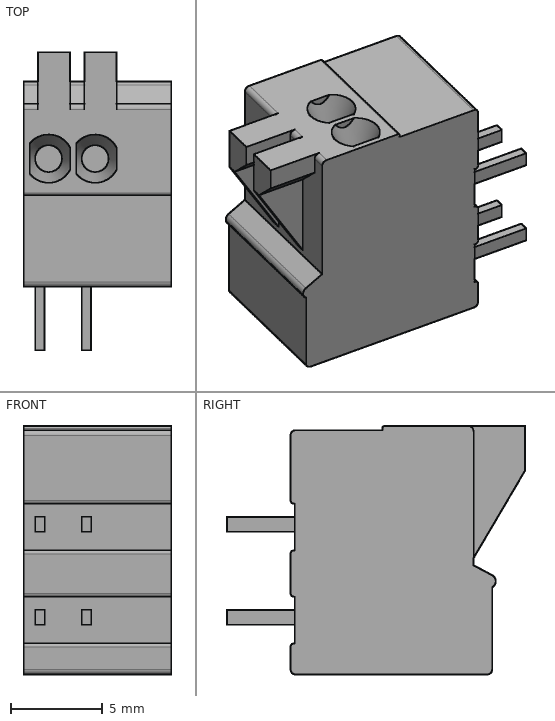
import cadquery as cq

width = 8.08
height = 13.6
lower_depth = 11.04
upper_depth = 10.01
step_y = 5.02
step_drop = 0.23
corner_radius = 0.3
groove_edge_radius = 0.2
step_radius = 0.13

ledge_top = 5.98
nose_slope_end = (11.05, 5.43)
nose_tip = (11.23, 5.12)
nose_base = (lower_depth, 4.78)

pole_count = 2
pole_pitch = 2.55
row_count = 2
row_pitch = 2 * pole_pitch
groove_depth = 0.23
groove_height = 2.55
lower_groove_z = 1.71

pin_width = 0.52
pin_height = 0.82
pin_length = 3.47
pin_x = 0.9
lower_pin_z = 3.13

funnel_x = 1.37
funnel_y = 7.01
funnel_radius = 1.32
funnel_floor_radius = 0.73
funnel_depth = 1.63
funnel_left = 0.33

lever_left = 0.78
lever_right = 2.55
lever_front = 8.8
lever_back = 16.3 - pin_length
lever_side_height = 1.22
lever_bevel = 1.22
stem_bottom = 6.35


def box(x0, x1, y0, y1, z0, z1):
    """Box between the given limits."""
    return cq.Workplane("XY").box(x1 - x0, y1 - y0, z1 - z0, centered=False).translate((x0, y0, z0))


def make_housing():
    """Side profile swept across the width, with rounded edges and front grooves."""
    shoulder = height - step_drop
    body = (
        cq.Workplane("YZ")
        .moveTo(0, 0)
        .lineTo(lower_depth, 0)
        .lineTo(*nose_base)
        .threePointArc(nose_tip, nose_slope_end)
        .lineTo(upper_depth, ledge_top)
        .lineTo(upper_depth, height)
        .lineTo(step_y, height)
        .lineTo(step_y, shoulder)
        .lineTo(0, shoulder)
        .close()
        .extrude(width)
    )

    def round_edge(solid, y, z, radius):
        near_edge = cq.selectors.NearestToPointSelector((width / 2, y, z))
        return solid.edges("|X").edges(near_edge).fillet(radius)

    for y, z in ((0, 0), (lower_depth, 0), (0, shoulder), (upper_depth, height)):
        body = round_edge(body, y, z, corner_radius)
    body = round_edge(body, step_y, height, step_radius)

    for row in range(row_count):
        bottom = lower_groove_z + row * row_pitch
        top = bottom + groove_height
        body = body.cut(box(0, width, 0, groove_depth, bottom, top))
        for z in (bottom, top):
            body = round_edge(body, 0, z, groove_edge_radius)
    return body


def make_pin(x, z):
    """Rectangular pin rooted in a groove floor and pointing forward."""
    half_width = pin_width / 2
    half_height = pin_height / 2
    return box(x - half_width, x + half_width, -pin_length, groove_depth, z - half_height, z + half_height)


def make_funnel(offset):
    """Conical wire entry, trimmed flat on its left and right sides."""
    cone = (
        cq.Workplane("XY", origin=(funnel_x, funnel_y, height - funnel_depth))
        .circle(funnel_floor_radius)
        .workplane(offset=funnel_depth)
        .circle(funnel_radius)
        .loft(ruled=True)
    )
    trim = box(
        funnel_left, lever_right,
        funnel_y - funnel_radius, funnel_y + funnel_radius,
        height - funnel_depth, height,
    )
    return cone.intersect(trim).translate((offset, 0, 0))


def make_lever(offset):
    """Lever with a head bevelled down to a narrow, tapering stem."""
    side_bottom = height - lever_side_height
    stem_left = lever_left + lever_bevel
    section = (
        cq.Workplane("XZ", origin=(0, lever_back, 0))
        .moveTo(lever_left, height)
        .lineTo(lever_right, height)
        .lineTo(lever_right, stem_bottom)
        .lineTo(stem_left, stem_bottom)
        .lineTo(stem_left, side_bottom - lever_bevel)
        .lineTo(lever_left, side_bottom)
        .close()
        .extrude(lever_back - lever_front)
    )
    side = (
        cq.Workplane("YZ")
        .moveTo(lever_front, height)
        .lineTo(lever_back, height)
        .lineTo(lever_back, side_bottom - lever_bevel)
        .lineTo(upper_depth, stem_bottom)
        .lineTo(lever_front, stem_bottom)
        .close()
        .extrude(width)
    )
    return section.intersect(side).translate((offset, 0, 0))


result = make_housing()
for pole in range(pole_count):
    pole_offset = pole * pole_pitch
    result = result.cut(make_funnel(pole_offset)).union(make_lever(pole_offset))
    for pin_row in range(row_count):
        result = result.union(make_pin(pin_x + pole_offset, lower_pin_z + pin_row * row_pitch))